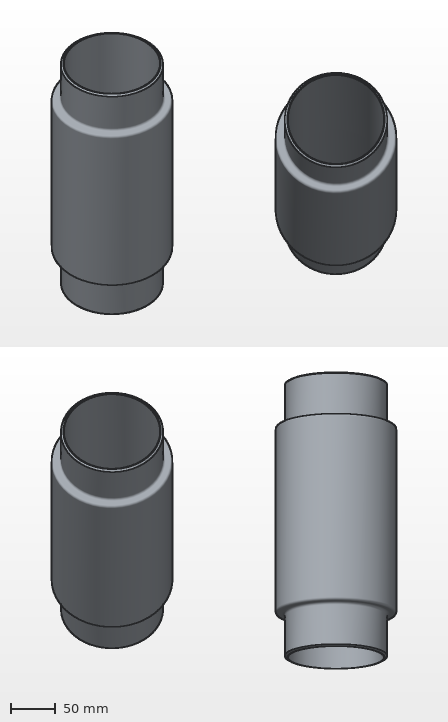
import cadquery as cq
import math

total_length = 314.0
neck_length = 50.0
body_diameter = 135.0
pipe_diameter = 114.3
pipe_wall = 3.6
edge_round = 3.0
neck_fillet = 3.0

bevel_land = 0.8
bevel_angle = 30.0

body_length = total_length - 2 * neck_length
pipe_radius = pipe_diameter / 2
bore_diameter = pipe_diameter - 2 * pipe_wall
bevel_width = pipe_wall - bevel_land
bevel_height = bevel_width * math.tan(math.radians(bevel_angle))


def centred_cylinder(diameter, length):
    """Cylinder along Z, centred on the origin."""
    return cq.Workplane("XY").circle(diameter / 2).extrude(length / 2, both=True).clean()


def make_body():
    """Thick middle sleeve with rounded outer edges."""
    return centred_cylinder(body_diameter, body_length).edges("%CIRCLE").fillet(edge_round)


def make_neck_fillets():
    """Concave rings blending each shoulder into the pipe."""
    shoulder = body_length / 2
    arc_inset = neck_fillet * (1 - math.sqrt(0.5))
    upper_ring = (
        cq.Workplane("XZ")
        .moveTo(pipe_radius - pipe_wall / 2, shoulder)
        .lineTo(pipe_radius + neck_fillet, shoulder)
        .threePointArc(
            (pipe_radius + arc_inset, shoulder + arc_inset),
            (pipe_radius, shoulder + neck_fillet),
        )
        .lineTo(pipe_radius - pipe_wall / 2, shoulder + neck_fillet)
        .close()
        .revolve(360, (0, 0, 0), (0, 1, 0))
    )
    return upper_ring.union(upper_ring.mirror("XY"))


def make_pipe():
    """Full-length pipe blank with a welding bevel at each end."""
    half_length = total_length / 2
    land_radius = pipe_radius - bevel_width
    outline = [
        (0, -half_length),
        (land_radius, -half_length),
        (pipe_radius, bevel_height - half_length),
        (pipe_radius, half_length - bevel_height),
        (land_radius, half_length),
        (0, half_length),
    ]
    return cq.Workplane("XZ").polyline(outline).close().revolve(360, (0, 0, 0), (0, 1, 0))


bore = centred_cylinder(bore_diameter, total_length)
result = make_pipe().union(make_body()).union(make_neck_fillets()).cut(bore).clean()